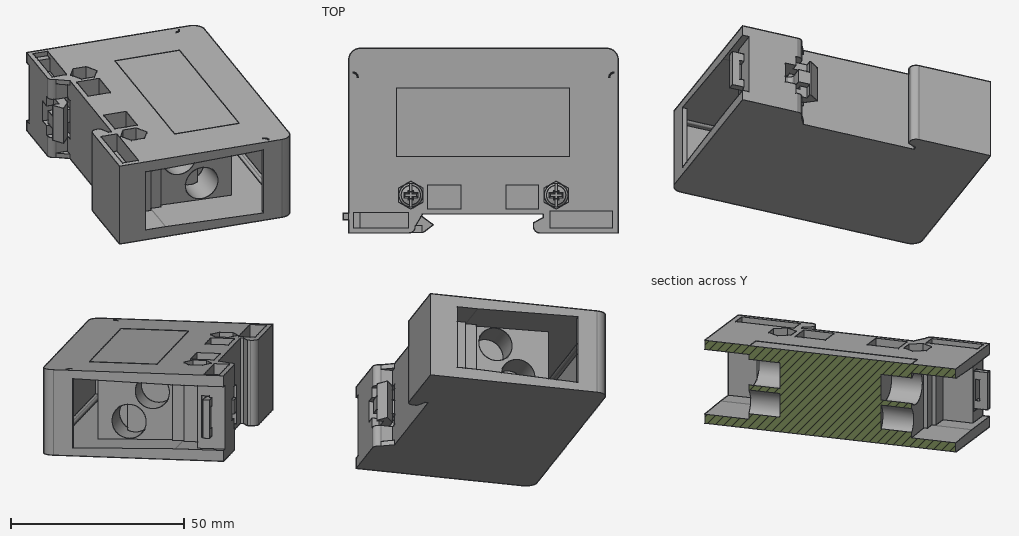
import cadquery as cq
import math

body_length = 77.9
body_depth = 53.4
body_height = 25.2
half_height = body_height / 2
corner_radius = 3.4
mid_x = body_length / 2

rail_floor = 5.5
lip_edge_x = 17.3
lip_radius = 1.9
lip_wall_x = lip_edge_x + lip_radius
rail_start_x = 21.4
rail_end_x = 56.2
nose_x = 53.35
nose_radius = 2.0
hook_root = 4.5
hook_tip = 2.95
web_thickness = 1.4

end_wall = 1.5
window_top = 44.4
latch_wall_x = 2.1
latch_wall_top = 8.0
opening_half_wide = 10.2
opening_half_narrow = 9.4
taper_end = 14.15
gallery_bottom = 39.4
gallery_top = 51.8
ledge_depth = 1.7
ledge_height = 0.7
terminal_x = 13.7
terminal_steps = [(17.3, 1.2), (13.75, 2.4)]
wire_hole_radius = 5.0
wire_hole_depth = 9.55
upper_hole = (23.45, 4.45)
lower_hole = (30.3, -4.5)
lower_hole_step = 32.5
hole_step_depth = 2.4

label_size = (50.1, 19.9)
label_center = (38.8, 32.0)
label_depth = 0.1
screw_y = 11.0
screw_xs = (18.0, 59.95)
hex_corner_diameter = 8.1
hex_depth = 6.35
head_diameter = 6.8
head_height = 2.4
head_shoulder = 0.6
head_dome = 0.55
screw_slot_width = 0.8
screw_slot_depth = 0.95
cross_size = (4.3, 1.75)
cross_bridge_size = (1.75, 2.9)
cross_depth = 1.4
cross_taper = 20
pocket_bottom = 7.0
pocket_top = 13.9
pocket_depth = 5.6
pocket_spans = ((22.8, 32.5), (45.5, 54.85))
slot_bottom = 1.5
slot_depth = 5.6
left_slot = (1.35, 17.3, 6.0)
right_slot = (58.1, 76.25, 6.4)
slot_step_x = 3.3
mark_radius = 1.5
mark_width = 0.3
mark_offset = 1.3
mark_y = 45.0

tab_reach = 1.6
tab_root_x = 4.0
tab_bottom = 3.8
tab_top = 5.8
latch_half = 5.65
tab_eye_start = 0.8
tab_eye_half = 3.2
tab_gap_half = 6.1
tab_gap = (4.5, 6.9)
foot_gap_half = 6.2
latch_gap_depth = 6.5
foot_back_x = 16.8
foot_bottom = 0.15
foot_step_x = 21.15
foot_step_y = 2.15
foot_heel_x = 21.55
foot_tip = (24.5, 2.4)
foot_top = 4.85
spring_start_x = 13.4
spring_end_x = 19.0
spring_half = 3.2
spring_tongue_half = 2.1
spring_bend_x = 16.1
spring_bend_rise = 0.6
spring_face_x = 17.65


def box(x_range, y_range, z_range):
    """Axis-aligned block from its limits on each axis."""
    sizes = [end - start for start, end in (x_range, y_range, z_range)]
    return cq.Workplane("XY").box(*sizes, centered=False).translate((x_range[0], y_range[0], z_range[0]))


def plate(outline, half_thickness):
    """Outline in the XY plane thickened equally up and down from the mid-plane."""
    return outline.extrude(half_thickness, both=True)


def top_cut(x_range, y_range, depth):
    """Block that removes material from the top face down to a depth."""
    return box(x_range, y_range, (half_height - depth, half_height))


def mirrored(shape):
    """The same shape at the opposite end of the body."""
    return shape.mirror("YZ", (mid_x, 0, 0))


def make_shell():
    arc_part = math.sqrt(0.5)
    nose_center_x = nose_x + nose_radius
    outline = (
        cq.Workplane("XY")
        .lineTo(lip_edge_x, 0)
        .threePointArc(
            (lip_edge_x + lip_radius * arc_part, lip_radius * (1 - arc_part)),
            (lip_wall_x, lip_radius),
        )
        .lineTo(lip_wall_x, rail_floor)
        .lineTo(rail_end_x, rail_floor)
        .lineTo(rail_end_x, hook_root)
        .lineTo(nose_x, hook_tip)
        .lineTo(nose_x, nose_radius)
        .threePointArc(
            (nose_center_x - nose_radius * arc_part, nose_radius * (1 - arc_part)),
            (nose_center_x, 0),
        )
        .lineTo(body_length, 0)
        .lineTo(body_length, body_depth)
        .lineTo(0, body_depth)
        .close()
    )
    shell = plate(outline, half_height)
    return shell.edges("|Z").edges(">Y").fillet(corner_radius)


def make_rail_webs():
    """Sloped gussets closing the lip corner at the top and bottom faces."""
    slope = [(lip_wall_x, lip_radius), (rail_start_x, rail_floor), (lip_wall_x, rail_floor)]
    web = cq.Workplane("XY").polyline(slope).close().extrude(web_thickness)
    return web.translate((0, 0, half_height - web_thickness)).union(web.translate((0, 0, -half_height)))


def make_tapered_cut(x_range, y_range):
    """Cut running along X whose sides draw in at a steady slope toward the foot face."""
    slope = (opening_half_wide - opening_half_narrow) / (window_top - taper_end)
    half_outline = [
        (gallery_top, opening_half_wide + slope * (gallery_top - window_top)),
        (taper_end, opening_half_narrow),
        (0, opening_half_narrow),
    ]
    other_half = [(y, -z) for y, z in reversed(half_outline)]
    cut = cq.Workplane("YZ").polyline(half_outline + other_half).close()
    cut = cut.extrude(x_range[1] - x_range[0]).translate((x_range[0], 0, 0))
    return cut.intersect(box(x_range, y_range, (-half_height, half_height)))


def make_end_chamber():
    chamber = make_tapered_cut((0, terminal_x), (latch_wall_top, window_top))
    for step_top, reach in terminal_steps:
        step = box((terminal_x - reach, terminal_x), (0, step_top), (-half_height, half_height))
        chamber = chamber.cut(step)
    return chamber


def make_gallery():
    """Passage between the two ends with rounded ledges along its far corners."""
    x_range = (end_wall, body_length - end_wall)
    gallery = make_tapered_cut(x_range, (gallery_bottom, gallery_top))
    ledge = box(
        x_range,
        (gallery_top - ledge_depth, gallery_top),
        (-half_height, -opening_half_wide + ledge_height),
    )
    ledge = ledge.edges("|X").edges("<Y").edges(">Z").fillet(0.95 * ledge_height)
    return gallery.cut(ledge).cut(ledge.mirror("XY"))


def make_wire_holes():
    def hole(center, depth):
        return (
            cq.Workplane("YZ", origin=(terminal_x, 0, 0))
            .center(*center)
            .circle(wire_hole_radius)
            .extrude(depth)
        )

    deep_part = hole(lower_hole, wire_hole_depth + hole_step_depth).intersect(
        box((0, mid_x), (lower_hole_step, body_depth), (-half_height, half_height))
    )
    return hole(upper_hole, wire_hole_depth).union(hole(lower_hole, wire_hole_depth)).union(deep_part)


def make_screw_well(x):
    """Hexagonal well with a domed, slotted screw head left standing on its floor."""
    floor = half_height - hex_depth
    well = (
        cq.Workplane("XY", origin=(x, screw_y, floor))
        .transformed(rotate=(0, 0, 90))
        .polygon(6, hex_corner_diameter)
        .extrude(hex_depth)
    )
    head_top = head_height + head_dome
    dome_rim = head_diameter / 2 - head_shoulder
    dome_radius = (dome_rim**2 + head_dome**2) / (2 * head_dome)
    dome = cq.Workplane("XY").sphere(dome_radius).translate((0, 0, head_top - dome_radius))
    dome = cq.Workplane("XY").circle(dome_rim).extrude(head_top).intersect(dome)
    head = cq.Workplane("XY").circle(head_diameter / 2).extrude(head_height)
    head = head.faces(">Z").edges().fillet(0.95 * head_shoulder).union(dome)
    slot = cq.Workplane("XY").box(screw_slot_width, head_diameter, 2 * screw_slot_depth)
    head = head.cut(slot.translate((0, 0, head_top)))
    for size in (cross_size, cross_bridge_size):
        recess = cq.Workplane("XY", origin=(0, 0, head_top)).rect(*size)
        head = head.cut(recess.extrude(-cross_depth, taper=cross_taper))
    return well.cut(head.translate((x, screw_y, floor)))


def make_top_slots():
    start, end, top = left_slot
    slots = top_cut((slot_step_x, end), (slot_bottom, top), slot_depth)
    slots = slots.union(top_cut((start, slot_step_x), (slot_bottom, top), web_thickness))
    start, end, top = right_slot
    return slots.union(top_cut((start, end), (slot_bottom, top), slot_depth))


def make_corner_mark():
    """Quarter-ring groove near a far corner of the top face."""
    ring = (
        cq.Workplane("XY", origin=(mark_offset, mark_y, half_height - mark_width))
        .circle(mark_radius)
        .circle(mark_radius - mark_width)
        .extrude(mark_width)
    )
    quarter = (mark_offset, mark_offset + mark_radius), (mark_y, mark_y + mark_radius)
    return ring.intersect(top_cut(*quarter, mark_width))


def make_foot():
    """Wedge that hooks under the rail, relieved on its underside."""
    profile = [
        (foot_back_x, foot_step_y),
        (foot_step_x, foot_step_y),
        (foot_step_x, foot_bottom),
        (foot_heel_x, foot_bottom),
        foot_tip,
        (foot_step_x, foot_top),
        (foot_back_x, foot_top),
    ]
    return plate(cq.Workplane("XY").polyline(profile).close(), latch_half)


def make_spring_tongue():
    """Tongue with an S-shaped back: a convex bend running into a concave one."""
    bend_width = spring_bend_x - spring_start_x
    bend_radius = (bend_width**2 + spring_bend_rise**2) / (2 * spring_bend_rise)
    half_sweep = math.asin(bend_width / bend_radius) / 2
    root_radius = spring_face_x - spring_bend_x
    bend_y = tab_top - spring_bend_rise
    face_y = bend_y - root_radius
    arc_part = math.sqrt(0.5)
    outline = (
        cq.Workplane("XY")
        .moveTo(spring_start_x, latch_gap_depth)
        .lineTo(spring_start_x, tab_top)
        .threePointArc(
            (
                spring_bend_x - bend_radius * math.sin(half_sweep),
                bend_y + bend_radius * (1 - math.cos(half_sweep)),
            ),
            (spring_bend_x, bend_y),
        )
        .threePointArc(
            (spring_bend_x + root_radius * arc_part, face_y + root_radius * arc_part),
            (spring_face_x, face_y),
        )
        .lineTo(spring_face_x, foot_bottom)
        .lineTo(foot_step_x, foot_bottom)
        .lineTo(foot_step_x, foot_top)
        .lineTo(spring_end_x, foot_top)
        .lineTo(spring_end_x, latch_gap_depth)
        .close()
    )
    return plate(outline, spring_tongue_half)


def make_pull_tab():
    half_range = (-latch_half, latch_half)
    tab = box((-tab_reach, tab_root_x), (tab_bottom, tab_top), half_range)
    eye = box((tab_eye_start, latch_wall_x), (tab_bottom, tab_top), (-tab_eye_half, tab_eye_half))
    return tab.cut(eye)


result = make_shell().union(make_rail_webs())
chamber = make_end_chamber()
wire_holes = make_wire_holes()
for end_cut in (chamber, wire_holes):
    result = result.cut(end_cut).cut(mirrored(end_cut))
result = result.cut(make_gallery())
result = result.cut(make_tapered_cut((0, latch_wall_x), (0, window_top)))

label_x, label_y = label_center
label = cq.Workplane("XY").box(*label_size, 2 * label_depth).translate((label_x, label_y, half_height))
result = result.cut(label)
for span in pocket_spans:
    result = result.cut(top_cut(span, (pocket_bottom, pocket_top), pocket_depth))
for screw_x in screw_xs:
    result = result.cut(make_screw_well(screw_x))
result = result.cut(make_top_slots())
corner_mark = make_corner_mark()
result = result.cut(corner_mark).cut(mirrored(corner_mark))

result = result.cut(box((foot_back_x, rail_start_x), (0, latch_gap_depth), (-foot_gap_half, foot_gap_half)))
result = result.union(make_foot())
result = result.cut(box((spring_start_x, spring_end_x), (0, latch_gap_depth), (-spring_half, spring_half)))
result = result.union(make_spring_tongue())
result = result.cut(box((latch_wall_x, slot_step_x), tab_gap, (-tab_gap_half, tab_gap_half)))
result = result.union(make_pull_tab())